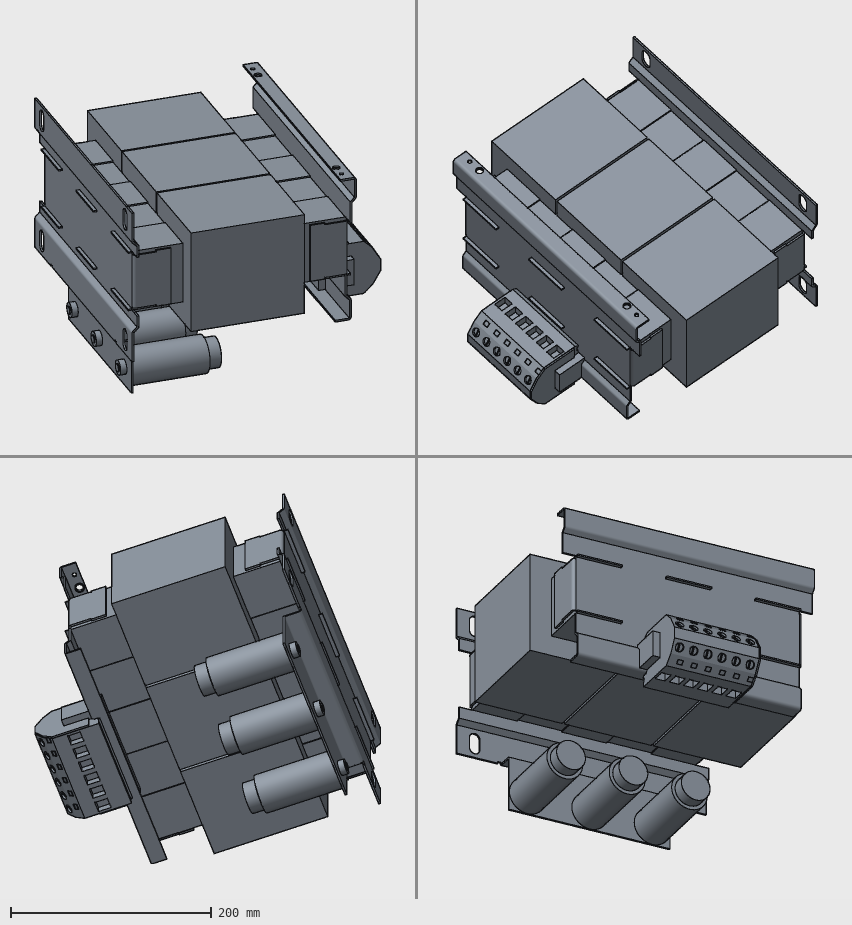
import cadquery as cq
import math


coil_width, coil_length, coil_height = 97.8, 120.8, 109.5
coil_pitch = 100.2
core_width, core_length, core_height = 250.5, 224.8, 62.2

strip_width, strip_length, strip_thickness = 50.2, 236.8, 1.5
strip_pitch = (core_width - strip_width) / 2

sheet = 2.0
frame_width = 280.0
frame_half_height = 82.5
frame_inner_z = core_height / 2 + strip_thickness
wall_outer = core_length / 2 + sheet
front_joggle, back_joggle = 5.5, 4.5
front_joggle_low, front_joggle_high = 44.5, 49.5
back_joggle_low, back_joggle_high = 55.0, 59.5
back_flange_length = 17.0
bend_radius = 3.5

leg_gap = 1.2
leg_outer_x = core_width / 2 + leg_gap + sheet
leg_end_y = 74.2
leg_notch_y = 89.7
leg_notch_height = 58.5

slot_x, slot_z = 120.0, 66.7
slot_width, slot_height = 11.7, 23.0
collar_x, collar_y = 112.7, 107.5
collar_radius, collar_hole_radius, collar_depth = 4.8, 4.0, 1.5
pilot_x, pilot_radius = 127.7, 2.0

plate_width, plate_bottom, plate_front = 180.5, -142.5, -102.3
plate_inner_radius = 1.2
relief_width, relief_height = 187.8, 1.8
capacitor_pitch, capacitor_z = 70.0, -122.5
capacitor_radius, capacitor_length = 20.0, 82.0
cap_radius, cap_length = 16.0, 13.8
nut_radius, nut_length = 7.8, 6.5
stud_radius, stud_length = 4.2, 7.8

terminal_count, terminal_pitch = 6, 15.8
terminal_start_x = -47.2
terminal_z, terminal_height = -67.0, 58.0
terminal_tip_y, terminal_tip_height = 179.0, 12.5
shoulder_y, shoulder_height = 170.7, 40.0
flank_y = 161.0
foot_y = 121.0
end_plate_thickness, end_plate_inset = 1.8, 0.5
screw_radius, screw_depth = 4.5, 2.5
driver_slot_width, driver_slot_depth = 1.2, 1.5
marker_width, marker_length, marker_depth = 5.7, 4.8, 1.0
entry_width, entry_length, entry_depth, entry_y = 10.8, 13.5, 9.0, 138.7

rail_block_width = 112.5
rail_back_y, rail_front_y, rail_hook_y = 147.7, 109.7, 105.0
rail_top, rail_hook_bottom, rail_bottom = -52.0, -61.3, -80.0


def block(x_size, y_size, z_size, center):
    return cq.Workplane("XY").box(x_size, y_size, z_size).translate(center)


def prism(points, x_start, width):
    """Extrude a (Y, Z) outline along +X."""
    return cq.Workplane("YZ", origin=(x_start, 0, 0)).polyline(points).close().extrude(width)


def rod(radius, x, z, y_start, y_end):
    return cq.Workplane("XZ", origin=(x, y_start, z)).circle(radius).extrude(y_start - y_end)


def bent_sheet(path, width):
    """Sheet whose one face follows the (Y, Z) path; its thickness lies left of the path."""
    headings = [math.atan2(b[1] - a[1], b[0] - a[0]) for a, b in zip(path, path[1:])]
    headings = [headings[0]] + headings + [headings[-1]]
    offset_path = []
    for (y, z), before, after in zip(path, headings, headings[1:]):
        middle = (before + after) / 2
        reach = sheet / math.cos((after - before) / 2)
        offset_path.append((y - reach * math.sin(middle), z + reach * math.cos(middle)))
    return prism(path + offset_path[::-1], -width / 2, width)


def round_bend(body, y, z, radius):
    """Round the edge of a bend that runs along X through (y, z)."""
    reach = sheet / 4
    half_width = frame_width / 2
    corner = cq.selectors.BoxSelector(
        (-half_width, y - reach, z - reach), (half_width, y + reach, z + reach)
    )
    return body.edges("|X").edges(corner).fillet(radius)


def make_core():
    core = block(core_width, core_length, core_height, (0, 0, 0))
    strip_z = (core_height + strip_thickness) / 2
    for column in (-1, 0, 1):
        core = core.union(block(coil_width, coil_length, coil_height, (column * coil_pitch, 0, 0)))
        for side in (-1, 1):
            center = (column * strip_pitch, 0, side * strip_z)
            core = core.union(block(strip_width, strip_length, strip_thickness, center))
    return core


def make_wrap():
    """Channel around the front end of the core, with one leg along each side."""
    length = wall_outer - leg_end_y
    middle_y = -(wall_outer + leg_end_y) / 2
    inner_x = leg_outer_x - sheet
    channel = block(2 * leg_outer_x, length, core_height, (0, middle_y, 0))
    channel = channel.edges("|Z and <Y").fillet(bend_radius)
    cavity = block(2 * inner_x, length, core_height, (0, middle_y + sheet, 0))
    cavity = cavity.edges("|Z and <Y").fillet(bend_radius - sheet)
    channel = channel.cut(cavity)
    notch_height = (core_height - leg_notch_height) / 2
    notch_length = wall_outer - leg_notch_y
    notch_width = leg_outer_x - core_width / 2
    for side in (-1, 1):
        for end in (-1, 1):
            center = (
                side * (leg_outer_x - notch_width / 2),
                -(wall_outer + leg_notch_y) / 2,
                end * (core_height - notch_height) / 2,
            )
            channel = channel.cut(block(notch_width, notch_length, notch_height, center))
    return channel


def make_front_frame():
    front_y = -wall_outer - front_joggle
    upper = bent_sheet(
        [
            (front_y, frame_half_height),
            (front_y, front_joggle_high),
            (-wall_outer, front_joggle_low),
            (-wall_outer, frame_inner_z),
        ],
        frame_width,
    )
    upper = round_bend(upper, front_y, front_joggle_high, bend_radius)
    slots = (
        cq.Workplane("XZ")
        .pushPoints([(-slot_x, slot_z), (slot_x, slot_z)])
        .slot2D(slot_height, slot_width, 90)
        .extrude(-2 * front_y, both=True)
    )
    upper = upper.cut(slots)
    relief_center = (0, front_y, relief_height / 2 - frame_half_height)
    lower = upper.mirror("XY").cut(block(relief_width, 4 * sheet, relief_height, relief_center))
    face = block(core_width, sheet, 2 * frame_inner_z, (0, sheet / 2 - wall_outer, 0))
    return upper.union(lower).union(face).union(make_wrap())


def back_bracket(width):
    """Upper bracket of the back frame, without holes."""
    back_y = wall_outer + back_joggle
    bracket = bent_sheet(
        [
            (wall_outer, frame_inner_z),
            (wall_outer, back_joggle_low),
            (back_y, back_joggle_high),
            (back_y, frame_half_height),
            (back_y - back_flange_length, frame_half_height),
        ],
        width,
    )
    bracket = round_bend(bracket, back_y, frame_half_height, bend_radius)
    return round_bend(bracket, back_y, back_joggle_high, bend_radius)


def make_back_frame():
    upper = back_bracket(frame_width)
    lower = back_bracket(core_width).mirror("XY")

    collar_bottom = frame_half_height - sheet - collar_depth
    through = collar_depth + 2 * sheet
    for side in (-1, 1):
        collar = cq.Workplane("XY", origin=(side * collar_x, collar_y, collar_bottom))
        pilot = cq.Workplane("XY", origin=(side * pilot_x, collar_y, collar_bottom))
        upper = upper.union(collar.circle(collar_radius).extrude(collar_depth + sheet / 2))
        upper = upper.cut(collar.circle(collar_hole_radius).extrude(through))
        upper = upper.cut(pilot.circle(pilot_radius).extrude(through))

    face = block(core_width, sheet, 2 * frame_inner_z, (0, wall_outer - sheet / 2, 0))
    wrap = make_wrap().mirror("XZ")
    return upper.union(lower).union(face).union(wrap)


def make_capacitors():
    front_y = -wall_outer - front_joggle
    plate_back = plate_front + sheet
    flange_top = -frame_half_height
    plate = bent_sheet(
        [
            (plate_back, plate_bottom),
            (plate_back, flange_top),
            (front_y + sheet, flange_top),
            (front_y + sheet, flange_top + relief_height),
        ],
        plate_width,
    )
    plate = round_bend(plate, plate_back, flange_top, sheet)
    plate = round_bend(plate, front_y, flange_top - sheet, bend_radius)
    plate = round_bend(plate, plate_front, flange_top - sheet, plate_inner_radius)
    body_end = plate_back + capacitor_length
    for column in (-1, 0, 1):
        x = column * capacitor_pitch
        plate = plate.union(rod(capacitor_radius, x, capacitor_z, plate_back, body_end))
        plate = plate.union(rod(cap_radius, x, capacitor_z, body_end, body_end + cap_length))
        plate = plate.union(rod(nut_radius, x, capacitor_z, plate_front, plate_front - nut_length))
        plate = plate.union(rod(stud_radius, x, capacitor_z, plate_front, plate_front - stud_length))
    return plate


def terminal_outline(foot):
    """Outline of a terminal, beginning and ending at its foot."""
    top = terminal_z + terminal_height / 2
    bottom = terminal_z - terminal_height / 2
    nose = [
        (flank_y, top),
        (shoulder_y, terminal_z + shoulder_height / 2),
        (terminal_tip_y, terminal_z + terminal_tip_height / 2),
        (terminal_tip_y, terminal_z - terminal_tip_height / 2),
        (shoulder_y, terminal_z - shoulder_height / 2),
        (flank_y, bottom),
    ]
    return nose + foot


def facet_plane(x, start, end):
    """Work plane at the middle of the facet between two (Y, Z) points, facing out and up."""
    run, drop = end[0] - start[0], start[1] - end[1]
    middle = (x, (start[0] + end[0]) / 2, (start[1] + end[1]) / 2)
    return cq.Workplane(cq.Plane(origin=middle, xDir=(1, 0, 0), normal=(0, drop, run)))


def terminal_recesses(left_x):
    """Screw, marker and wire recesses in the upper half of one terminal."""
    flank, shoulder, tip = terminal_outline([])[:3]
    middle_x = left_x + terminal_pitch / 2
    screw = facet_plane(middle_x, shoulder, tip)
    cutter = screw.circle(screw_radius).extrude(-screw_depth)
    driver_slot = screw.rect(driver_slot_width, 2 * screw_radius).extrude(-screw_depth - driver_slot_depth)
    marker = facet_plane(left_x + marker_width / 2, flank, shoulder)
    entry = cq.Workplane("XY", origin=(middle_x, entry_y, flank[1]))
    return (
        cutter.union(driver_slot)
        .union(marker.rect(marker_width, marker_length).extrude(-marker_depth))
        .union(entry.rect(entry_width, entry_length).extrude(-entry_depth))
    )


def make_terminals():
    foot = [
        (111.2, -96.0),
        (111.8, -87.0),
        (110.0, -85.2),
        (112.0, -83.0),
        (115.7, -83.0),
        (117.8, rail_bottom),
        (117.8, rail_top),
        (115.5, rail_top),
        (115.5, -47.5),
        (117.0, -47.0),
        (117.0, -43.7),
        (114.8, -40.7),
        (119.5, terminal_z + terminal_height / 2),
    ]
    row = prism(terminal_outline(foot), terminal_start_x, terminal_count * terminal_pitch)
    for index in range(terminal_count):
        recesses = terminal_recesses(terminal_start_x + index * terminal_pitch)
        row = row.cut(recesses)
        row = row.cut(recesses.mirror("XY", (0, 0, terminal_z)))

    half_height = terminal_height / 2
    plate_foot = [(foot_y, terminal_z - half_height), (foot_y, terminal_z + half_height)]
    end_plate_x = terminal_start_x - end_plate_thickness
    end_plate = (
        cq.Workplane("YZ", origin=(end_plate_x, 0, 0))
        .polyline(terminal_outline(plate_foot))
        .close()
        .offset2D(-end_plate_inset)
        .extrude(end_plate_thickness)
    )

    rail_block = prism(
        [
            (rail_back_y, rail_top),
            (rail_hook_y, rail_top),
            (rail_hook_y, rail_hook_bottom),
            (rail_front_y, rail_hook_bottom),
            (rail_front_y, rail_bottom),
            (rail_back_y, rail_bottom),
        ],
        -rail_block_width / 2,
        rail_block_width,
    )
    return row.union(end_plate).union(rail_block)


result = (
    make_core()
    .union(make_front_frame())
    .union(make_back_frame())
    .union(make_capacitors())
    .union(make_terminals())
)